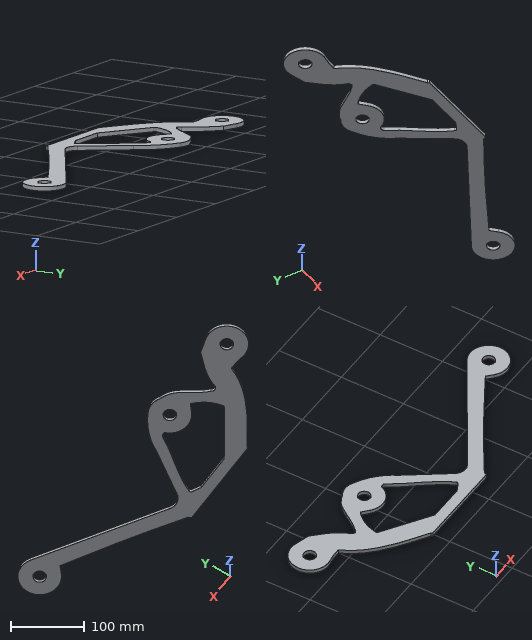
import cadquery as cq
import math

thickness = 6.3
total_depth = 149.32
lug_radius = 30.0
dome_top_y = 30.5
hole_diameter = 18.0
middle_lug_x = 140.0
right_lug_x = 460.0
lug_centres = [(0.0, 0.0), (middle_lug_x, 0.0), (right_lug_x, 0.0)]

foot_y = dome_top_y - total_depth
foot_left = (126.5, foot_y)
foot_right = (264.5, foot_y)
foot_left_corner = (125.5, -116.8)
foot_right_corner = (267.0, -114.0)

left_shoulder = (31.5, 22.2)
left_shoulder_side = (47.0, 6.2)
left_shoulder_foot = (59.3, -9.8)
left_valley_entry = (66.3, -23.8)
left_valley_bottom = (71.5, -28.0)
left_valley_exit = (76.0, -25.0)
left_notch_start = (16.5, -27.8)
left_notch = (29.7, -27.6)
left_waist = (54.0, -63.5)
left_knee = (92.0, -94.8)

middle_left_flank_low = (92.4, -4.0)
middle_left_flank_high = (101.3, 9.1)
middle_left_angle = 120.0
middle_right_angle = 68.0
middle_right_shoulder = (181.4, 7.0)
middle_right_flank = (200.0, -18.0)

right_valley_vertex = (253.3, -94.8)
right_valley_radius = 18.0
right_arm_middle = (354.5, -58.0)
right_notch = (430.0, -13.2)

window_left_corner = (87.0, -53.5)
window_left_flank = (98.0, -25.5)
window_left_peak = (109.5, -13.2)
window_right_peak_start_angle = -20.0
window_right_peak = (174.3, -10.0)
window_right_bend = (195.7, -41.0)
window_right_flank = (208.5, -57.5)
window_right_corner = (230.7, -94.0)
window_floor_y = -101.6
window_floor_left_x = 159.0
window_floor_right_x = 215.5
window_corner_radius = 3.0


def on_lug(centre_x, angle):
    """Point on the rim of a lug, angle in degrees from +X."""
    a = math.radians(angle)
    return (centre_x + lug_radius * math.cos(a), lug_radius * math.sin(a))


def tangent_angle(centre_x, point, side):
    """Rim angle where the tangent through an outside point touches a lug."""
    dx = point[0] - centre_x
    dy = point[1]
    spread = math.acos(lug_radius / math.hypot(dx, dy))
    return math.degrees(math.atan2(dy, dx) + side * spread)


def make_outline():
    left_top = on_lug(0.0, tangent_angle(0.0, left_shoulder, 1))
    left_bottom = on_lug(0.0, tangent_angle(0.0, left_notch_start, -1))
    middle_left = on_lug(middle_lug_x, middle_left_angle)
    middle_right = on_lug(middle_lug_x, middle_right_angle)
    right_top = on_lug(right_lug_x, tangent_angle(right_lug_x, right_valley_vertex, -1))
    right_bottom = on_lug(right_lug_x, tangent_angle(right_lug_x, right_notch, 1))
    profile = (
        cq.Workplane("XY")
        .moveTo(*left_top)
        .lineTo(*left_shoulder)
        .spline([left_shoulder_side, left_shoulder_foot, left_valley_entry], includeCurrent=True)
        .threePointArc(left_valley_bottom, left_valley_exit)
        .spline([middle_left_flank_low, middle_left_flank_high, middle_left], includeCurrent=True)
        .threePointArc((middle_lug_x, dome_top_y), middle_right)
        .spline([middle_right_shoulder, middle_right_flank], includeCurrent=True)
        .lineTo(*right_valley_vertex)
        .lineTo(*right_top)
        .threePointArc(on_lug(right_lug_x, 0), right_bottom)
        .lineTo(*right_notch)
        .spline([right_arm_middle, foot_right_corner], includeCurrent=True)
        .lineTo(*foot_right)
        .lineTo(*foot_left)
        .lineTo(*foot_left_corner)
        .spline([left_knee, left_waist, left_notch], includeCurrent=True)
        .lineTo(*left_notch_start)
        .lineTo(*left_bottom)
        .threePointArc(on_lug(0.0, 180), left_top)
        .close()
    )
    return profile.extrude(thickness)


def vertical_edge_at(point):
    """Selector for the upright edge that stands on a profile point."""
    reach = 0.5
    low = (point[0] - reach, point[1] - reach, -reach)
    high = (point[0] + reach, point[1] + reach, thickness + reach)
    return cq.selectors.BoxSelector(low, high)


def make_window():
    lug_left = on_lug(middle_lug_x, tangent_angle(middle_lug_x, window_left_peak, 1))
    lug_right = on_lug(middle_lug_x, window_right_peak_start_angle)
    profile = (
        cq.Workplane("XY")
        .moveTo(*window_left_corner)
        .spline([window_left_flank, window_left_peak], includeCurrent=True)
        .lineTo(*lug_left)
        .threePointArc(on_lug(middle_lug_x, -90), lug_right)
        .lineTo(*window_right_peak)
        .spline([window_right_bend, window_right_flank, window_right_corner], includeCurrent=True)
        .lineTo(window_floor_right_x, window_floor_y)
        .lineTo(window_floor_left_x, window_floor_y)
        .close()
    )
    window = profile.extrude(thickness)
    for corner in (window_left_corner, window_right_peak, window_right_corner):
        window = window.edges(vertical_edge_at(corner)).fillet(window_corner_radius)
    return window


plate = make_outline()
plate = plate.edges(vertical_edge_at(right_valley_vertex)).fillet(right_valley_radius)
holes = (
    cq.Workplane("XY")
    .pushPoints(lug_centres)
    .circle(hole_diameter / 2)
    .extrude(thickness)
)
result = plate.cut(make_window()).cut(holes)